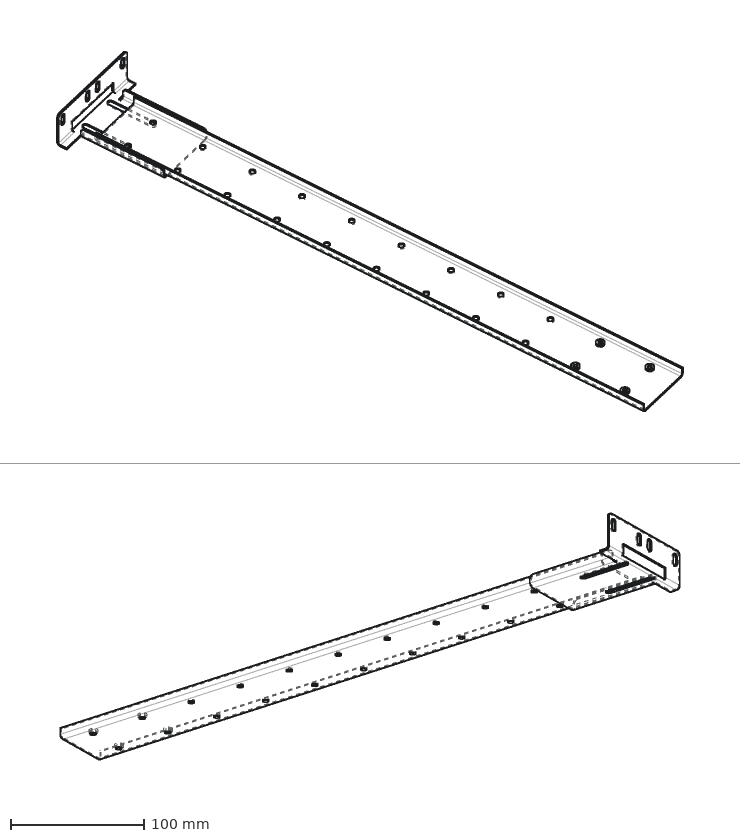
import cadquery as cq

SHEET = 1.5
BEND_INNER = 1.5
BEND_OUTER = BEND_INNER + SHEET

LENGTH = 530.0
HOLE_DIAMETER = 5.0

CHANNEL_START = 21.5
CHANNEL_LENGTH = LENGTH - CHANNEL_START
CHANNEL_WIDTH = 51.0
WALL_TOP = 9.5
HOLE_COLUMNS = 11
HOLE_END_MARGIN = 24.0
HOLE_Y = 16.0
FIRST_HOLE_X = CHANNEL_START + HOLE_END_MARGIN
HOLE_PITCH = (CHANNEL_LENGTH - 2 * HOLE_END_MARGIN) / (HOLE_COLUMNS - 1)
CHANNEL_FLOOR_TOP = 2 * SHEET

INSERT_COLUMNS = 2
INSERT_HEAD_DIAMETER = 7.0
INSERT_HEAD_HEIGHT = 1.5
INSERT_BORE_DIAMETER = 3.0

FLANGE_WIDTH = 88.0
FLANGE_HEIGHT = 31.0
FLANGE_CORNER_RADIUS = 3.0
LIP_LENGTH = 9.0
TRAY_END = 87.0
TRAY_WIDTH = 55.0
WALL_CORNER_RADIUS = 3.0
RELIEF_LENGTH = 1.0
NECK_WIDTH = 45.5
TRAY_START = LIP_LENGTH + RELIEF_LENGTH
OPENING_WIDTH = 52.5
OPENING_BOTTOM = SHEET
OPENING_TOP = 11.0
FLANGE_SLOT_LENGTH = 10.0
FLANGE_SLOT_Z = 22.0
FLANGE_SLOT_YS = (-38.0, -6.5, 6.5, 38.0)
FLOOR_SLOT_START = 3.5
FLOOR_SLOT_END = FIRST_HOLE_X + HOLE_DIAMETER / 2


def u_profile(width, bottom, start, length):
    """Bent U section with its floor at `bottom` and walls up to WALL_TOP, running along X."""
    height = WALL_TOP - bottom
    outer = (
        cq.Workplane("XY")
        .box(length, width, height, centered=(False, True, False))
        .edges("|X and <Z")
        .fillet(BEND_OUTER)
    )
    inner = (
        cq.Workplane("XY")
        .workplane(offset=SHEET)
        .box(length, width - 2 * SHEET, height, centered=(False, True, False))
        .edges("|X and <Z")
        .fillet(BEND_INNER)
    )
    return outer.cut(inner).translate((start, 0, bottom))


def cylinders(points, diameter, bottom, height):
    """Upright cylinders at the given XY points."""
    return (
        cq.Workplane("XY")
        .workplane(offset=bottom)
        .pushPoints(points)
        .circle(diameter / 2)
        .extrude(height)
    )


def hole_points(columns):
    """Centres of both holes in each of the given columns."""
    return [(FIRST_HOLE_X + i * HOLE_PITCH, side * HOLE_Y) for i in columns for side in (-1, 1)]


def make_channel():
    channel = u_profile(CHANNEL_WIDTH, SHEET, CHANNEL_START, CHANNEL_LENGTH)
    points = hole_points(range(HOLE_COLUMNS))
    return channel.cut(cylinders(points, HOLE_DIAMETER, SHEET, SHEET))


def make_flange_and_lip():
    """L section: upright flange bent into a short foot."""
    angle = (
        cq.Workplane("XZ")
        .moveTo(BEND_OUTER, 0)
        .lineTo(LIP_LENGTH, 0)
        .lineTo(LIP_LENGTH, SHEET)
        .lineTo(BEND_OUTER, SHEET)
        .radiusArc((SHEET, BEND_OUTER), BEND_INNER)
        .lineTo(SHEET, FLANGE_HEIGHT)
        .lineTo(0, FLANGE_HEIGHT)
        .lineTo(0, BEND_OUTER)
        .radiusArc((BEND_OUTER, 0), -BEND_OUTER)
        .close()
        .extrude(FLANGE_WIDTH / 2, both=True)
    )
    return angle.edges("|X and >Z").fillet(FLANGE_CORNER_RADIUS)


def make_tray():
    """U section with rounded wall corners, joined to the foot by a narrower strip of floor."""
    tray = u_profile(TRAY_WIDTH, 0, TRAY_START, TRAY_END - TRAY_START)
    tray = tray.edges("|Y and >Z").fillet(WALL_CORNER_RADIUS)
    neck = cq.Workplane("XY").box(
        RELIEF_LENGTH,
        NECK_WIDTH,
        SHEET,
        centered=(False, True, False),
    )
    return tray.union(neck.translate((LIP_LENGTH, 0, 0)))


def make_bracket():
    bracket = make_flange_and_lip().union(make_tray())
    opening = cq.Workplane("XY").box(
        BEND_OUTER, OPENING_WIDTH, OPENING_TOP - OPENING_BOTTOM, centered=(False, True, False)
    )
    bracket = bracket.cut(opening.translate((0, 0, OPENING_BOTTOM)))
    flange_slots = (
        cq.Workplane("YZ")
        .pushPoints([(y, FLANGE_SLOT_Z) for y in FLANGE_SLOT_YS])
        .slot2D(FLANGE_SLOT_LENGTH, HOLE_DIAMETER, 90)
        .extrude(SHEET)
    )
    slot_x = (FLOOR_SLOT_START + FLOOR_SLOT_END) / 2
    floor_slots = (
        cq.Workplane("XY")
        .pushPoints([(slot_x, -HOLE_Y), (slot_x, HOLE_Y)])
        .slot2D(FLOOR_SLOT_END - FLOOR_SLOT_START, HOLE_DIAMETER)
        .extrude(SHEET)
    )
    return bracket.cut(flange_slots).cut(floor_slots)


def make_insert(x, y):
    """Flanged insert: shank filling its hole, head on the channel floor, bored through."""
    shank = cylinders([(x, y)], HOLE_DIAMETER, SHEET, SHEET)
    head = cylinders([(x, y)], INSERT_HEAD_DIAMETER, CHANNEL_FLOOR_TOP, INSERT_HEAD_HEIGHT)
    bore = cylinders([(x, y)], INSERT_BORE_DIAMETER, SHEET, SHEET + INSERT_HEAD_HEIGHT)
    return shank.union(head).cut(bore)


bracket = make_bracket()
channel = make_channel()
insert_points = hole_points(range(HOLE_COLUMNS - INSERT_COLUMNS, HOLE_COLUMNS))
inserts = [make_insert(x, y) for x, y in insert_points]

result = cq.Compound.makeCompound(
    [bracket.val(), channel.val(), *[insert.val() for insert in inserts]]
)